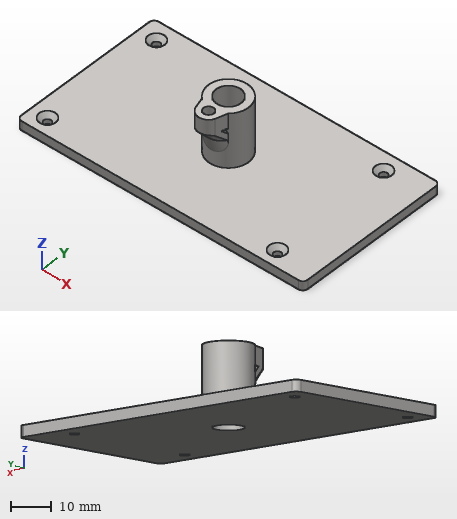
import cadquery as cq

PLATE_LENGTH = 93.55
PLATE_WIDTH = 50.3
PLATE_THICKNESS = 3.0
CORNER_RADIUS = 1.6

SCREW_HOLE_CENTRES = [(-40.9, 19.55), (33.3, 19.55), (-41.35, -20.0), (33.8, -20.0)]
SCREW_HOLE_DIAMETER = 2.4
COUNTERSINK_DIAMETER = 5.3
COUNTERSINK_ANGLE = 90.0

TOTAL_HEIGHT = 20.5
POST_DIAMETER = 13.0
POST_RADIUS = POST_DIAMETER / 2
BORE_DIAMETER = 8.0

LOBE_REACH = 10.8
LOBE_TIP_HALF_WIDTH = 3.2
LOBE_TIP_CORNER_Y = -8.6
LOBE_ROOT_WIDTH = 8.6
LOBE_ROOT_HALF_WIDTH = LOBE_ROOT_WIDTH / 2
LOBE_ROOT_Y = -(POST_RADIUS**2 - LOBE_ROOT_HALF_WIDTH**2) ** 0.5
LOBE_WALL_HEIGHT = 4.9
PIN_HOLE_Y = -7.3
PIN_HOLE_DIAMETER = 3.3

SUPPORT_TOP_RADIUS = 3.7
SUPPORT_BEND_Z = 12.0
SUPPORT_BEND_REACH = 7.5
SUPPORT_BEND_RADIUS = 5.0
SUPPORT_FOOT_Z = 7.6
SUPPORT_FOOT_RADIUS = 5.4

LOBE_BOTTOM_Z = TOTAL_HEIGHT - LOBE_WALL_HEIGHT


def make_plate():
    plate = cq.Workplane("XY").box(
        PLATE_LENGTH, PLATE_WIDTH, PLATE_THICKNESS, centered=(True, True, False)
    )
    plate = plate.edges("|Z").fillet(CORNER_RADIUS)
    return (
        plate.faces(">Z")
        .workplane(origin=(0, 0, PLATE_THICKNESS))
        .pushPoints(SCREW_HOLE_CENTRES)
        .cskHole(SCREW_HOLE_DIAMETER, COUNTERSINK_DIAMETER, COUNTERSINK_ANGLE)
    )


def make_lobe_prism(bottom_z):
    """Full lobe outline, from inside the post to the tip, up to the top face."""
    return (
        cq.Workplane("XY", origin=(0, 0, bottom_z))
        .moveTo(-LOBE_ROOT_HALF_WIDTH, 0)
        .lineTo(-LOBE_ROOT_HALF_WIDTH, LOBE_ROOT_Y)
        .lineTo(-LOBE_TIP_HALF_WIDTH, LOBE_TIP_CORNER_Y)
        .threePointArc((0, -LOBE_REACH), (LOBE_TIP_HALF_WIDTH, LOBE_TIP_CORNER_Y))
        .lineTo(LOBE_ROOT_HALF_WIDTH, LOBE_ROOT_Y)
        .lineTo(LOBE_ROOT_HALF_WIDTH, 0)
        .close()
        .extrude(TOTAL_HEIGHT - bottom_z)
    )


def oblique_cone(lower_z, lower_reach, lower_radius, upper_z, upper_reach, upper_radius):
    """Leaning cone between two level circles; reach is how far each extends toward -Y."""
    return (
        cq.Workplane("XY", origin=(0, 0, lower_z))
        .center(0, lower_radius - lower_reach)
        .circle(lower_radius)
        .workplane(offset=upper_z - lower_z)
        .center(0, (upper_radius - upper_reach) - (lower_radius - lower_reach))
        .circle(upper_radius)
        .loft(ruled=True)
    )


def make_support():
    steep = oblique_cone(
        SUPPORT_FOOT_Z, POST_RADIUS, SUPPORT_FOOT_RADIUS,
        SUPPORT_BEND_Z, SUPPORT_BEND_REACH, SUPPORT_BEND_RADIUS,
    )
    shallow = oblique_cone(
        SUPPORT_BEND_Z, SUPPORT_BEND_REACH, SUPPORT_BEND_RADIUS,
        LOBE_BOTTOM_Z, LOBE_REACH, SUPPORT_TOP_RADIUS,
    )
    return steep.union(shallow).intersect(make_lobe_prism(SUPPORT_FOOT_Z))


post = cq.Workplane("XY").circle(POST_RADIUS).extrude(TOTAL_HEIGHT)
bore = cq.Workplane("XY").circle(BORE_DIAMETER / 2).extrude(TOTAL_HEIGHT)

pin_hole = (
    cq.Workplane("XY", origin=(0, PIN_HOLE_Y, LOBE_BOTTOM_Z))
    .circle(PIN_HOLE_DIAMETER / 2)
    .extrude(LOBE_WALL_HEIGHT)
)

result = (
    make_plate()
    .union(post)
    .union(make_lobe_prism(LOBE_BOTTOM_Z))
    .union(make_support())
    .cut(bore)
    .cut(pin_hole)
)